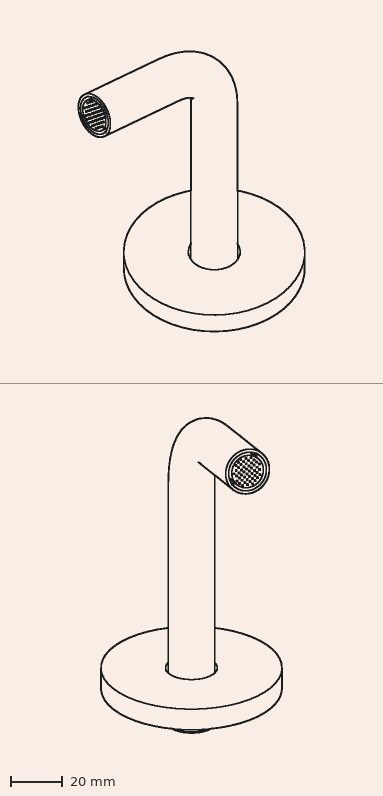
import cadquery as cq
import math

FLANGE_DIAMETER = 70
FLANGE_THICKNESS = 9
FLANGE_BORE_DIAMETER = 20
TUBE_DIAMETER = 18
RISER_HEIGHT = 80.24
BEND_RADIUS = 29
SPOUT_TILT = 10
SPOUT_LENGTH = 39.86
SPIGOT_DIAMETER = 21
SPIGOT_HEIGHT = 14.5
SPIGOT_CHAMFER = 1
FLATS_WIDTH = 19
FLATS_HEIGHT = 6.5

GROOVE_OUTER_DIAMETER = 15.5
GROOVE_INNER_DIAMETER = 13
GROOVE_DEPTH = 10
HOLE_DIAMETER = 0.5
HOLE_PITCH = 1.5
HOLE_FIELD_SHIFT = -0.3
HOLE_DEPTH = 1
HOLE_FIELD_RADIUS = 5.95

bend_start_z = FLANGE_THICKNESS + RISER_HEIGHT
bend_angle = math.radians(90 - SPOUT_TILT)
tilt = math.radians(SPOUT_TILT)


def bend_point(angle):
    """Point (Y, Z) on the centre line after turning through the angle."""
    y = -BEND_RADIUS * (1 - math.cos(angle))
    z = bend_start_z + BEND_RADIUS * math.sin(angle)
    return y, z


bend_end = bend_point(bend_angle)
outlet_centre = (
    bend_end[0] - SPOUT_LENGTH * math.cos(tilt),
    bend_end[1] + SPOUT_LENGTH * math.sin(tilt),
)


def make_flange():
    return (
        cq.Workplane("XY")
        .circle(FLANGE_DIAMETER / 2)
        .circle(FLANGE_BORE_DIAMETER / 2)
        .extrude(FLANGE_THICKNESS)
    )


def make_tube():
    path = (
        cq.Workplane("YZ")
        .moveTo(0, 0)
        .lineTo(0, bend_start_z)
        .threePointArc(bend_point(bend_angle / 2), bend_end)
        .lineTo(*outlet_centre)
    )
    return cq.Workplane("XY").circle(TUBE_DIAMETER / 2).sweep(path)


def make_spigot():
    spigot = (
        cq.Workplane("XY")
        .circle(SPIGOT_DIAMETER / 2)
        .extrude(-SPIGOT_HEIGHT)
        .faces("<Z")
        .chamfer(SPIGOT_CHAMFER)
    )
    flats_envelope = (
        cq.Workplane("XY")
        .rect(FLATS_WIDTH, SPIGOT_DIAMETER)
        .extrude(-FLATS_HEIGHT)
    )
    flat_cuts = (
        cq.Workplane("XY")
        .rect(2 * SPIGOT_DIAMETER, SPIGOT_DIAMETER)
        .extrude(-FLATS_HEIGHT)
        .cut(flats_envelope)
    )
    return spigot.cut(flat_cuts)


def outlet_plane():
    """Plane on the spout's end face, its normal pointing out of the spout."""
    return cq.Plane(
        origin=(0, *outlet_centre),
        xDir=(1, 0, 0),
        normal=(0, -math.cos(tilt), math.sin(tilt)),
    )


def hole_centres():
    """Square lattice turned by 45 degrees: every second node of a finer grid, kept inside the field."""
    spacing = HOLE_PITCH / math.sqrt(2)
    reach = math.ceil(HOLE_FIELD_RADIUS / spacing) + 1
    steps = range(-reach, reach + 1)
    centres = []
    for column in steps:
        for row in steps:
            x = HOLE_FIELD_SHIFT + column * spacing
            y = row * spacing
            is_lattice_node = (column + row) % 2 == 1
            if is_lattice_node and math.hypot(x, y) <= HOLE_FIELD_RADIUS:
                centres.append((x, y))
    return centres


def make_outlet_cuts():
    groove = (
        cq.Workplane(outlet_plane())
        .circle(GROOVE_OUTER_DIAMETER / 2)
        .circle(GROOVE_INNER_DIAMETER / 2)
        .extrude(-GROOVE_DEPTH)
    )
    holes = (
        cq.Workplane(outlet_plane())
        .pushPoints(hole_centres())
        .circle(HOLE_DIAMETER / 2)
        .extrude(-HOLE_DEPTH)
    )
    return groove, holes


def make_spout():
    spout = make_tube().union(make_spigot())
    for cut in make_outlet_cuts():
        spout = spout.cut(cut)
    return spout


flange = make_flange()
spout = make_spout()

result = cq.Compound.makeCompound([flange.val(), spout.val()])